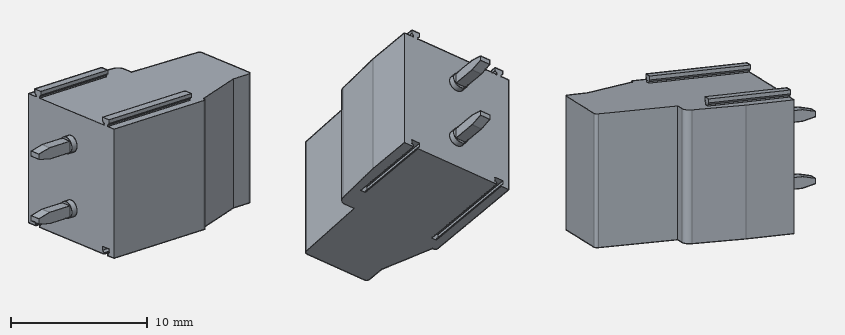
import cadquery as cq


total_length = 18.5
total_height = 10.73

housing_width = 9.5
housing_depth = 14.98
housing_height = 10.15
half_width = housing_width / 2

left_draft_start = 3.85
left_shoulder_depth = 8.53
left_shoulder_inset = 0.33
left_head_inset = 1.72
left_head_draft = 0.22
left_shoulder_radius = 0.6

right_shoulder_depth = 9.0
right_shoulder_ledge = 0.31
right_slope_end = 13.2
right_head_inset = 1.83
right_shoulder_radius = 0.22
head_radius = 0.25

rail_width = 0.7
rail_neck_width = 0.4
rail_height = total_height - housing_height
rail_neck_height = 0.11
rail_flare_height = 0.17
left_rail_inset = 0.68
right_rail_inset = 0.55
left_rail_length = 6.51
right_rail_length = 8.01

pin_count = 2
pin_pitch = housing_height / pin_count
pin_length = total_length - housing_depth
pin_width = 0.85
pin_height = 0.89
pin_tip_height = 0.4
pin_taper_length = 1.04
collar_diameter = 1.3
collar_length = 0.5


def make_housing():
    """Housing profile extruded upwards, with its vertical corners rounded."""
    left_shoulder = (-half_width + left_shoulder_inset, left_shoulder_depth)
    head_left = (-half_width + left_head_inset + left_head_draft, housing_depth)
    head_right = (half_width - right_head_inset, housing_depth)
    right_shoulder = (half_width, right_shoulder_depth)
    profile = [
        (-half_width, 0),
        (-half_width, left_draft_start),
        left_shoulder,
        (-half_width + left_head_inset, left_shoulder_depth),
        head_left,
        head_right,
        (half_width - right_head_inset, right_slope_end),
        (half_width - right_shoulder_ledge, right_shoulder_depth),
        right_shoulder,
        (half_width, 0),
    ]
    housing = cq.Workplane("XY").polyline(profile).close().extrude(housing_height)
    rounded_corners = [
        (left_shoulder, left_shoulder_radius),
        (head_left, head_radius),
        (head_right, head_radius),
        (right_shoulder, right_shoulder_radius),
    ]
    for (x, y), radius in rounded_corners:
        corner_edge = cq.selectors.NearestToPointSelector((x, y, housing_height / 2))
        housing = housing.edges("|Z").edges(corner_edge).fillet(radius)
    return housing


def make_rail(center_x, base_z, length):
    """Rail with a narrow neck flaring to a wide head, running back from the pin face."""
    half_head = rail_width / 2
    half_neck = rail_neck_width / 2
    flare_end = rail_neck_height + rail_flare_height
    section = [
        (-half_neck, 0),
        (-half_neck, rail_neck_height),
        (-half_head, flare_end),
        (-half_head, rail_height),
        (half_head, rail_height),
        (half_head, flare_end),
        (half_neck, rail_neck_height),
        (half_neck, 0),
    ]
    rail = cq.Workplane("XZ").polyline(section).close().extrude(-length)
    return rail.translate((center_x, 0, base_z))


def make_pin(center_z):
    """Rectangular pin with a tapered tip, on a round collar."""
    half_height = pin_height / 2
    half_tip = pin_tip_height / 2
    taper_start = -pin_length + pin_taper_length
    side_profile = [
        (0, -half_height),
        (taper_start, -half_height),
        (-pin_length, -half_tip),
        (-pin_length, half_tip),
        (taper_start, half_height),
        (0, half_height),
    ]
    blade = cq.Workplane("YZ").polyline(side_profile).close().extrude(pin_width / 2, both=True)
    collar = cq.Workplane("XZ").circle(collar_diameter / 2).extrude(collar_length)
    return collar.union(blade).translate((0, 0, center_z))


result = make_housing()

left_rail_x = -half_width + left_rail_inset + rail_width / 2
right_rail_x = half_width - right_rail_inset - rail_width / 2
for rail_x, rail_length in [(left_rail_x, left_rail_length), (right_rail_x, right_rail_length)]:
    result = result.union(make_rail(rail_x, housing_height, rail_length))
    result = result.cut(make_rail(rail_x, 0, rail_length))

for pin_index in range(pin_count):
    result = result.union(make_pin((pin_index + 0.5) * pin_pitch))